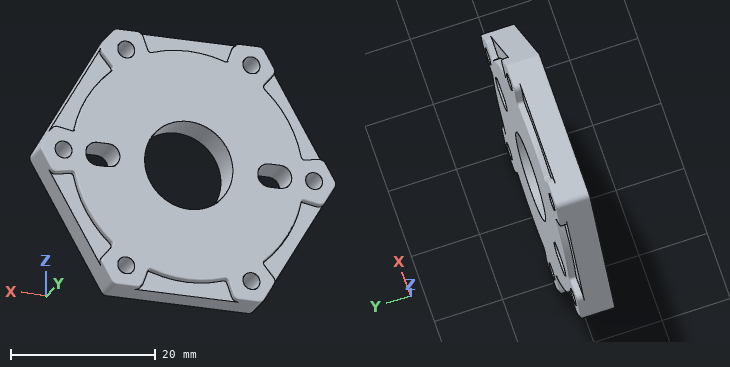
import cadquery as cq
import math

across_flats = 38.0
thickness = 5.0
corner_radius = 1.0
rim_fillet = 0.25
apothem = across_flats / 2
side_count = 6
side_step = 360 / side_count
vertex_radius = apothem / math.cos(math.radians(side_step / 2))

recess_depth = 1.0
recess_half_angle = 20.0
boss_radius = 17.0
recess_outer_radius = 1.2 * vertex_radius
recess_inner_fillet = 0.5

bore_diameter = 13.0
hole_diameter = 2.5
hole_circle_radius = 18.47
slot_length = 5.0
slot_width = 3.4
slot_offset = 12.7

front_y = -thickness / 2
back_y = thickness / 2
floor_y = back_y - recess_depth


def plane_at(y):
    """Workplane at depth y whose axes are +X and +Z and whose normal is -Y."""
    return cq.Workplane("XZ", origin=(0, y, 0))


def polar(radius, angle):
    """Point at a radius and an angle in degrees."""
    return (radius * math.cos(math.radians(angle)), radius * math.sin(math.radians(angle)))


def hexagon(start_y, end_y):
    """Sharp-cornered hexagonal prism with vertices on the X axis."""
    return plane_at(end_y).polygon(side_count, 2 * vertex_radius).extrude(end_y - start_y)


def radius_of(edge):
    """Distance of an edge's centre from the Y axis."""
    centre = edge.Center()
    return math.hypot(centre.x, centre.z)


def recess(direction):
    """Ring sector that opens one side of the hexagon, with rounded inner corners."""
    start = direction - recess_half_angle
    end = direction + recess_half_angle
    sector = (
        plane_at(back_y)
        .moveTo(*polar(boss_radius, start))
        .threePointArc(polar(boss_radius, direction), polar(boss_radius, end))
        .lineTo(*polar(recess_outer_radius, end))
        .threePointArc(polar(recess_outer_radius, direction), polar(recess_outer_radius, start))
        .close()
        .extrude(recess_depth)
    )
    inner_edges = sector.edges("|Y").filter(lambda edge: radius_of(edge) < apothem)
    return sector.newObject(inner_edges.vals()).fillet(recess_inner_fillet)


front_layer = hexagon(front_y, floor_y).edges("|Y").fillet(corner_radius)
front_layer = front_layer.faces("<Y").edges().fillet(rim_fillet)

back_layer = hexagon(floor_y, back_y)
for side in range(side_count):
    back_layer = back_layer.cut(recess((side + 0.5) * side_step))
back_layer = back_layer.edges("|Y").filter(lambda edge: radius_of(edge) > apothem).fillet(corner_radius)
back_layer = back_layer.faces(">Y").edges().fillet(rim_fillet)

plate = front_layer.union(back_layer)

bore = plane_at(back_y).circle(bore_diameter / 2).extrude(thickness)
slots = (
    plane_at(back_y)
    .pushPoints([(-slot_offset, 0), (slot_offset, 0)])
    .slot2D(slot_length, slot_width)
    .extrude(thickness)
)
corner_holes = (
    plane_at(back_y)
    .polarArray(hole_circle_radius, 0, 360, side_count)
    .circle(hole_diameter / 2)
    .extrude(thickness)
)

result = plate.cut(bore).cut(slots).cut(corner_holes)